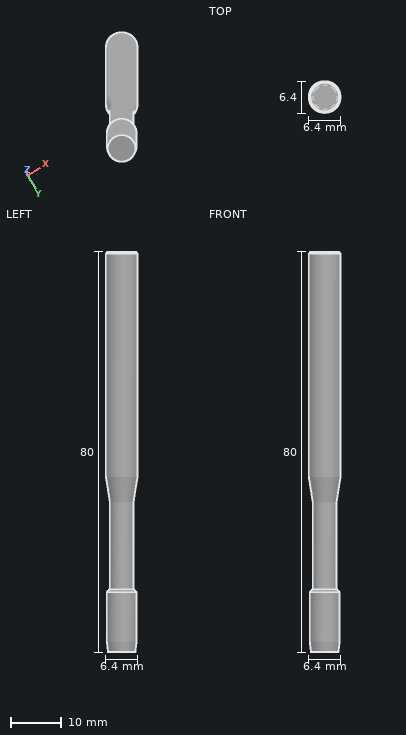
import cadquery as cq

tip_diameter = 5.5
head_diameter = 6.0
neck_diameter = 4.8
shank_diameter = 6.4
shank_end_diameter = 5.8

total_length = 80.0
tip_taper_top = 2.0
head_cylinder_top = 12.0
head_top = head_cylinder_top + (head_diameter - neck_diameter) / 2
neck_top = 30.0
shank_bottom = 35.0
end_chamfer_height = 0.4


def revolve_profile(stations):
    """Turn (diameter, height) stations, listed upward, into a solid about Z."""
    outline = [(0, stations[0][1])]
    outline += [(diameter / 2, height) for diameter, height in stations]
    outline.append((0, stations[-1][1]))
    return cq.Workplane("XZ").polyline(outline).close().revolve(360, (0, 0), (0, 1))


def make_head():
    """Working head with a tapered tip and a cone closing down to the neck."""
    return revolve_profile([
        (tip_diameter, 0),
        (head_diameter, tip_taper_top),
        (head_diameter, head_cylinder_top),
        (neck_diameter, head_top),
    ])


def make_shank():
    """Slim neck that widens through a cone into the chamfered shank."""
    return revolve_profile([
        (neck_diameter, head_top),
        (neck_diameter, neck_top),
        (shank_diameter, shank_bottom),
        (shank_diameter, total_length - end_chamfer_height),
        (shank_end_diameter, total_length),
    ])


head = make_head()
shank = make_shank()

result = cq.Compound.makeCompound([head.val(), shank.val()])